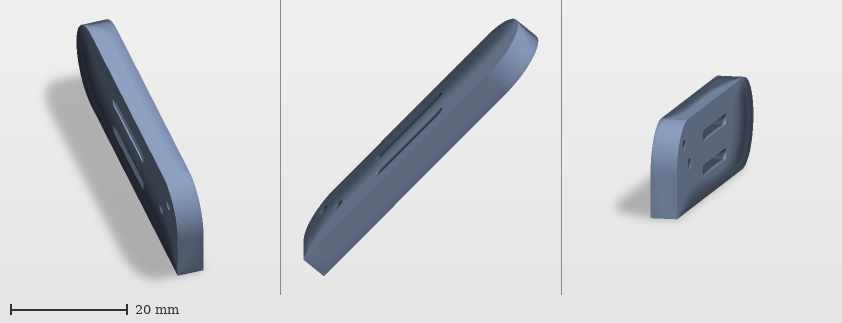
import cadquery as cq

length = 55.0
thickness = 4.7
height = 16.0
end_radius = height / 2
corner_width = 7.05

hole_diameter = 2.0

slot_length = 17.0
slot_center_x = 28.05
slot_offsets_z = (-3.0, 3.0)

hole_positions = ((46.1, 0.0), (49.95, 3.9))


def front_plane():
    """Sketch plane on the front face: local x is X, local y is Z."""
    return cq.Workplane("XZ")


def make_plate():
    """Plate with a full round left end and a rounded upper right corner."""
    return (
        front_plane()
        .moveTo(end_radius, -end_radius)
        .lineTo(length, -end_radius)
        .lineTo(length, 0)
        .tangentArcPoint((length - corner_width, end_radius), relative=False)
        .lineTo(end_radius, end_radius)
        .threePointArc((0, 0), (end_radius, -end_radius))
        .close()
        .extrude(-thickness)
    )


def make_slots():
    """Two parallel horizontal slots through the plate."""
    return (
        front_plane()
        .pushPoints([(slot_center_x, z) for z in slot_offsets_z])
        .slot2D(slot_length, hole_diameter)
        .extrude(-thickness)
    )


def make_holes():
    """Round holes through the plate near the rounded corner."""
    return front_plane().pushPoints(hole_positions).circle(hole_diameter / 2).extrude(-thickness)


result = make_plate().cut(make_slots()).cut(make_holes())